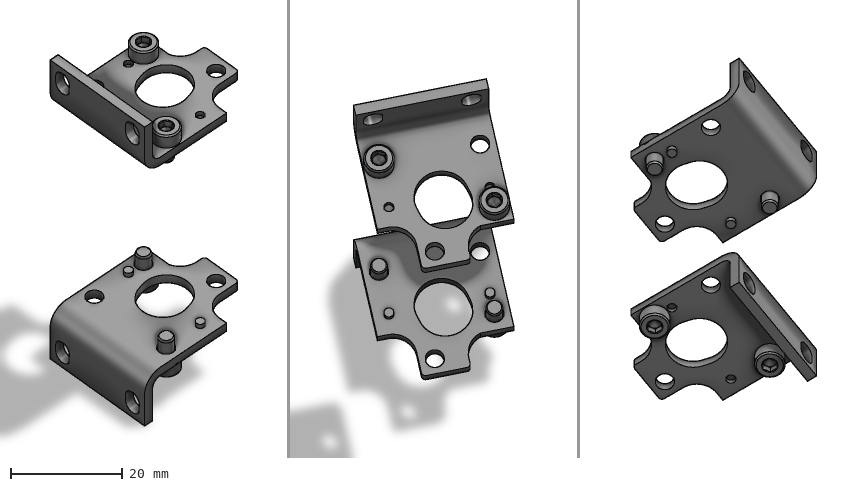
import cadquery as cq
import math


OVERALL_HEIGHT = 74.0
WIDTH = 24.4
DEPTH = 29.7
THICKNESS = 2.0
LEG_HEIGHT = 12.0
BEND_INNER_RADIUS = THICKNESS
BEND_OUTER_RADIUS = BEND_INNER_RADIUS + THICKNESS
LEG_TOP = OVERALL_HEIGHT / 2
PLATE_BOTTOM = LEG_TOP - LEG_HEIGHT
PLATE_TOP = PLATE_BOTTOM + THICKNESS

TAB_LEFT = -3.0
TAB_RIGHT = 5.9
TAB_CORNER_RADIUS = 0.75
SHOULDER_RADIUS = 4.4
LEFT_SHOULDER_Y = 23.7
LEFT_ARC_TOP_Y = 27.8
RIGHT_SHOULDER_Y = 20.5

HOLE_SPAN = 18.6
HOLE_OFFSET = 12.3
FRONT_ROW_Y = 8.2
HOLE_DIAMETER = 3.4
SCREW_POINTS = [
    (-HOLE_SPAN / 2, FRONT_ROW_Y + HOLE_OFFSET),
    (HOLE_SPAN / 2, FRONT_ROW_Y),
]
OPEN_HOLE_POINTS = [
    (-HOLE_SPAN / 2, FRONT_ROW_Y),
    (HOLE_OFFSET - HOLE_SPAN / 2, FRONT_ROW_Y + HOLE_SPAN),
]

OPENING_DIAMETER = 10.0
OPENING_TRAVEL = 1.25
OPENING_TILT = 104.0
OPENING_X = -0.6
OPENING_Y = 17.4

BOSS_DIAMETER = 1.8
BOSS_HEIGHT = THICKNESS / 2
BOSS_Y = 16.7
BOSS_POINTS = [(-HOLE_SPAN / 2, BOSS_Y), (HOLE_SPAN / 2, BOSS_Y)]

SLOT_WIDTH = 3.5
SLOT_LENGTH = 4.95
SLOT_SPACING = 18.05
SLOT_DROP = 3.7

HEAD_DIAMETER = 5.5
HEAD_HEIGHT = 2.95
HEAD_CHAMFER = 0.3
SHANK_DIAMETER = 3.0
SHANK_LENGTH = 5.0
TIP_CHAMFER_RADIAL = 0.2
TIP_CHAMFER_LENGTH = 0.45
SOCKET_FLATS = 2.5
SOCKET_CORNERS = SOCKET_FLATS / math.cos(math.radians(30))
SOCKET_DEPTH = 1.5
SOCKET_RIM_DIAMETER = 2.95
SOCKET_CONE_ANGLE = 30.0


def make_bent_sheet():
    """L-shaped sheet: plate, bend and upright leg."""
    diagonal = math.sqrt(0.5)
    bend_y = BEND_OUTER_RADIUS
    bend_z = PLATE_BOTTOM + BEND_OUTER_RADIUS
    profile = (
        cq.Workplane("YZ", origin=(-WIDTH / 2, 0, 0))
        .moveTo(0, LEG_TOP)
        .lineTo(0, bend_z)
        .threePointArc(
            (bend_y - BEND_OUTER_RADIUS * diagonal, bend_z - BEND_OUTER_RADIUS * diagonal),
            (bend_y, PLATE_BOTTOM),
        )
        .lineTo(DEPTH, PLATE_BOTTOM)
        .lineTo(DEPTH, PLATE_TOP)
        .lineTo(bend_y, PLATE_TOP)
        .threePointArc(
            (bend_y - BEND_INNER_RADIUS * diagonal, bend_z - BEND_INNER_RADIUS * diagonal),
            (THICKNESS, bend_z),
        )
        .lineTo(THICKNESS, LEG_TOP)
        .close()
    )
    return profile.extrude(WIDTH)


def make_outline_block():
    """Tall block with the bracket's outline seen along Z."""
    left_arc_drop = LEFT_ARC_TOP_Y - LEFT_SHOULDER_Y
    left_arc_run = SHOULDER_RADIUS - math.sqrt(SHOULDER_RADIUS**2 - left_arc_drop**2)
    block = (
        cq.Workplane("XY", origin=(0, 0, PLATE_BOTTOM))
        .moveTo(-WIDTH / 2, 0)
        .lineTo(WIDTH / 2, 0)
        .lineTo(WIDTH / 2, RIGHT_SHOULDER_Y)
        .lineTo(TAB_RIGHT + SHOULDER_RADIUS, RIGHT_SHOULDER_Y)
        .radiusArc((TAB_RIGHT, RIGHT_SHOULDER_Y + SHOULDER_RADIUS), SHOULDER_RADIUS)
        .lineTo(TAB_RIGHT, DEPTH)
        .lineTo(TAB_LEFT, DEPTH)
        .lineTo(TAB_LEFT, LEFT_ARC_TOP_Y)
        .radiusArc((TAB_LEFT - left_arc_run, LEFT_SHOULDER_Y), SHOULDER_RADIUS)
        .lineTo(-WIDTH / 2, LEFT_SHOULDER_Y)
        .close()
        .extrude(LEG_HEIGHT)
    )
    return block.edges("|Z and >Y").fillet(TAB_CORNER_RADIUS)


def make_bracket():
    """Upper bracket, with its plate at the bottom of the leg."""
    bracket = make_bent_sheet().intersect(make_outline_block())
    plate_floor = cq.Workplane("XY", origin=(0, 0, PLATE_BOTTOM))

    holes = (
        plate_floor.pushPoints(SCREW_POINTS + OPEN_HOLE_POINTS)
        .circle(HOLE_DIAMETER / 2)
        .extrude(THICKNESS)
    )
    opening = (
        plate_floor.center(OPENING_X, OPENING_Y)
        .slot2D(OPENING_DIAMETER + OPENING_TRAVEL, OPENING_DIAMETER, OPENING_TILT)
        .extrude(THICKNESS)
    )
    recesses = (
        cq.Workplane("XY", origin=(0, 0, PLATE_TOP))
        .pushPoints(BOSS_POINTS)
        .circle(BOSS_DIAMETER / 2)
        .extrude(-BOSS_HEIGHT)
    )
    bosses = plate_floor.pushPoints(BOSS_POINTS).circle(BOSS_DIAMETER / 2).extrude(-BOSS_HEIGHT)
    leg_slots = (
        cq.Workplane("XZ", origin=(0, 0, LEG_TOP - SLOT_DROP))
        .pushPoints([(-SLOT_SPACING / 2, 0), (SLOT_SPACING / 2, 0)])
        .slot2D(SLOT_LENGTH, SLOT_WIDTH, 90)
        .extrude(-THICKNESS)
    )
    return bracket.cut(holes).cut(opening).cut(recesses).cut(leg_slots).union(bosses)


def make_cone(base_diameter, base_z):
    """Downward cone used for the socket's rim and floor."""
    radius = base_diameter / 2
    height = radius * math.tan(math.radians(SOCKET_CONE_ANGLE))
    return cq.Workplane("XY").add(
        cq.Solid.makeCone(radius, 0, height, cq.Vector(0, 0, base_z), cq.Vector(0, 0, -1))
    )


def make_screw():
    """Screw with the underside of its head at Z = 0 and its shank pointing down."""
    head = (
        cq.Workplane("XY")
        .circle(HEAD_DIAMETER / 2)
        .extrude(HEAD_HEIGHT)
        .faces(">Z")
        .chamfer(HEAD_CHAMFER)
    )
    shank_radius = SHANK_DIAMETER / 2
    shank = (
        cq.Workplane("XZ")
        .moveTo(0, 0)
        .lineTo(shank_radius, 0)
        .lineTo(shank_radius, TIP_CHAMFER_LENGTH - SHANK_LENGTH)
        .lineTo(shank_radius - TIP_CHAMFER_RADIAL, -SHANK_LENGTH)
        .lineTo(0, -SHANK_LENGTH)
        .close()
        .revolve(360, (0, 0, 0), (0, 1, 0))
    )
    socket = (
        cq.Workplane("XY", origin=(0, 0, HEAD_HEIGHT))
        .transformed(rotate=(0, 0, 90))
        .polygon(6, SOCKET_CORNERS)
        .extrude(-SOCKET_DEPTH)
    )
    socket_rim = make_cone(SOCKET_RIM_DIAMETER, HEAD_HEIGHT)
    socket_floor = make_cone(SOCKET_FLATS, HEAD_HEIGHT - SOCKET_DEPTH)
    return head.union(shank).cut(socket).cut(socket_rim).cut(socket_floor)


upper_bracket = make_bracket()
lower_bracket = upper_bracket.mirror("XY")

screws = []
for x, y in SCREW_POINTS:
    upper_screw = make_screw().translate((x, y, PLATE_TOP))
    lower_screw = upper_screw.mirror("XY")
    screws += [upper_screw.val(), lower_screw.val()]

result = cq.Compound.makeCompound([upper_bracket.val(), lower_bracket.val(), *screws])